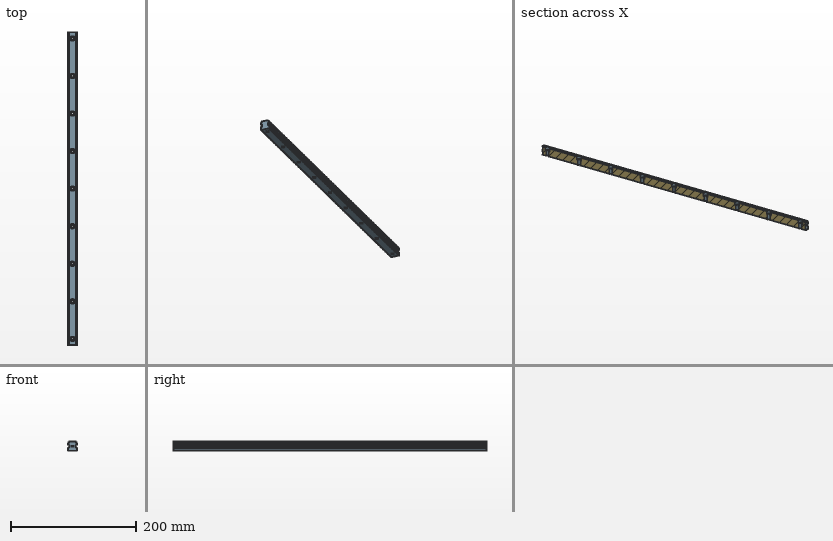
import cadquery as cq
import math

rail_width = 15.0
rail_length = 500.0
rail_height = 15.0
half_width = rail_width / 2

foot_chamfer = 0.7
base_side_top = 4.1
waist_half_width = 5.2
waist_bottom = base_side_top + half_width - waist_half_width
waist_top = 8.5

lower_race_top = 10.0
lower_race_sag = 0.5
ledge_height = 11.7
ledge_wall_half_width = 6.65
ledge_wall_top = 13.4
upper_race_sag = 0.3
top_half_width = 5.1

hole_count = 9
hole_pitch = 60.0
hole_diameter = 4.5
counterbore_diameter = 7.5
counterbore_depth = 5.3

end_slot_length = 4.4
end_slot_height = 2.0
end_slot_depth = 0.5
end_slot_center_height = rail_height / 2


def race_midpoint(lower, upper, sag):
    """Middle point of a concave race that dips by sag into the right side of the section."""
    dx = upper[0] - lower[0]
    dz = upper[1] - lower[1]
    chord = math.hypot(dx, dz)
    return (
        (lower[0] + upper[0]) / 2 - sag * dz / chord,
        (lower[1] + upper[1]) / 2 + sag * dx / chord,
    )


def rail_body():
    """Extrude the rail section along Y: its right half, joined to its mirror image."""
    waist_upper_corner = (waist_half_width, waist_top)
    head_lower_corner = (half_width, lower_race_top)
    ledge_wall_corner = (ledge_wall_half_width, ledge_wall_top)
    top_corner = (top_half_width, rail_height)

    right_half = (
        cq.Workplane("XZ")
        .moveTo(0, 0)
        .lineTo(half_width - foot_chamfer, 0)
        .lineTo(half_width, foot_chamfer)
        .lineTo(half_width, base_side_top)
        .lineTo(waist_half_width, waist_bottom)
        .lineTo(*waist_upper_corner)
        .threePointArc(
            race_midpoint(waist_upper_corner, head_lower_corner, lower_race_sag),
            head_lower_corner,
        )
        .lineTo(half_width, ledge_height)
        .lineTo(ledge_wall_half_width, ledge_height)
        .lineTo(*ledge_wall_corner)
        .threePointArc(
            race_midpoint(ledge_wall_corner, top_corner, upper_race_sag),
            top_corner,
        )
        .lineTo(0, rail_height)
        .close()
        .extrude(rail_length / 2, both=True)
    )
    return right_half.union(right_half.mirror("YZ")).clean()


def drill_mounting_holes(body):
    """Drill the row of counterbored holes down through the top face."""
    return (
        body.faces(">Z")
        .workplane(origin=(0, 0, rail_height))
        .rarray(1, hole_pitch, 1, hole_count)
        .cboreHole(hole_diameter, counterbore_diameter, counterbore_depth)
    )


def cut_end_slot(body):
    """Sink the shallow horizontal slot into the -Y end face."""
    slot = (
        cq.Workplane("XZ", origin=(0, -rail_length / 2, end_slot_center_height))
        .slot2D(end_slot_length, end_slot_height)
        .extrude(-end_slot_depth)
    )
    return body.cut(slot)


result = cut_end_slot(drill_mounting_holes(rail_body())).solids()